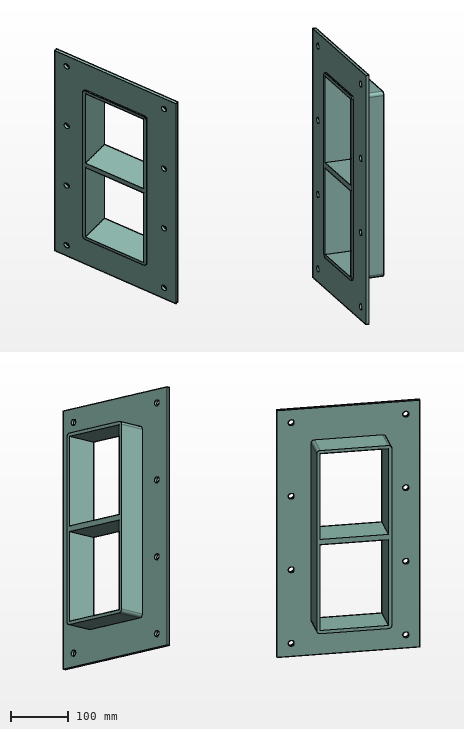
import cadquery as cq

plate_width = 252.5
plate_height = 461.0
plate_thickness = 6.0

sleeve_width = 132.8
sleeve_height = 342.0
sleeve_depth = 60.0
sleeve_wall = 6.0
sleeve_corner_radius = 6.0
front_projection = 2.8

divider_thickness = 10.0

hole_diameter = 10.5
hole_column_spacing = 203.0
hole_rows = 4
hole_row_spacing = 137.5

window_width = sleeve_width - 2 * sleeve_wall
window_height = (sleeve_height - 2 * sleeve_wall - divider_thickness) / 2
window_spacing = window_height + divider_thickness


def box_from_front(width, height, depth, front_y):
    """Block centred in X and Z that extends toward +Y from front_y."""
    return cq.Workplane("XY").box(
        width, depth, height, centered=(True, False, True)
    ).translate((0, front_y, 0))


plate = box_from_front(plate_width, plate_height, plate_thickness, 0)
holes = (
    cq.Workplane("XZ")
    .rarray(hole_column_spacing, hole_row_spacing, 2, hole_rows)
    .circle(hole_diameter / 2)
    .extrude(-plate_thickness)
)

sleeve = box_from_front(sleeve_width, sleeve_height, sleeve_depth, -front_projection)
sleeve = sleeve.edges("|Y").fillet(sleeve_corner_radius)

result = plate.cut(holes).union(sleeve)

window = box_from_front(window_width, window_height, sleeve_depth, -front_projection)
for side in (-1, 1):
    result = result.cut(window.translate((0, 0, side * window_spacing / 2)))